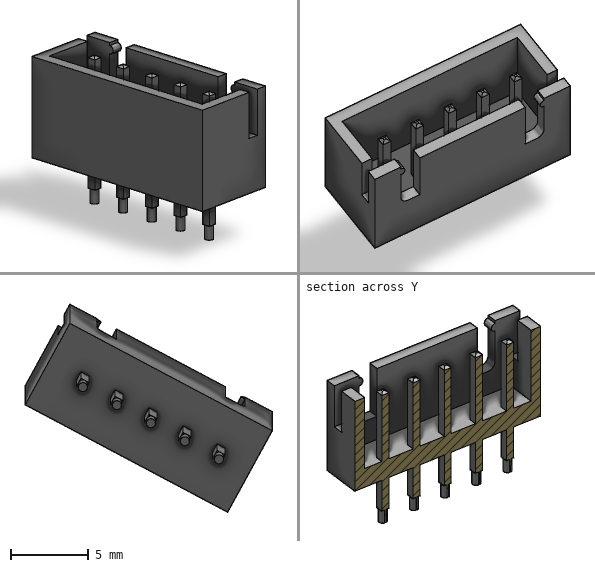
import cadquery as cq

length = 14.9
width = 6.1
height = 7.0
end_wall = 0.77
back_wall = 0.79
front_wall = 0.83
floor_thickness = 1.49

end_slot_width = 0.8
end_slot_depth = 3.19

tab_length = 2.0
latch_slot_width = 1.43
latch_slot_depth = 3.72
latch_slot_fillet = 0.58

ridge_radius = 0.3
ridge_drop = 0.5

pin_count = 5
pin_pitch = 2.5
pin_size = 0.6
pin_back_offset = 2.75
pin_top = 6.76
pin_taper_height = 0.15
pin_tip_size = 0.16
pin_length_below = 3.4
round_end_length = 1.0

back_y = width / 2
back_wall_inner_y = back_y - back_wall
pin_y = back_y - pin_back_offset
tab_edge_x = length / 2 - tab_length


def make_housing():
    """Box with a rectangular cavity open at the top."""
    cavity_width = width - back_wall - front_wall
    block = cq.Workplane("XY").box(length, width, height, centered=(True, True, False))
    cavity = (
        cq.Workplane("XY")
        .box(length - 2 * end_wall, cavity_width, height, centered=(True, False, False))
        .translate((0, front_wall - width / 2, floor_thickness))
    )
    return block.cut(cavity)


def make_end_slots():
    """Cutter through both end walls, just inside the back wall."""
    return (
        cq.Workplane("XY")
        .box(length, end_slot_width, end_slot_depth, centered=(True, False, False))
        .translate((0, back_wall_inner_y - end_slot_width, height - end_slot_depth))
    )


def make_latch_slot():
    """Cutter for the +X latch slot, with a rounded corner at the foot of the tab."""
    slot_bottom = height - latch_slot_depth
    return (
        cq.Workplane("XZ", origin=(0, back_y, 0))
        .moveTo(tab_edge_x - latch_slot_width, height)
        .lineTo(tab_edge_x - latch_slot_width, slot_bottom)
        .lineTo(tab_edge_x - latch_slot_fillet, slot_bottom)
        .radiusArc((tab_edge_x, slot_bottom + latch_slot_fillet), -latch_slot_fillet)
        .lineTo(tab_edge_x, height)
        .close()
        .extrude(back_wall)
    )


def make_ridge():
    """Round ridge along the free edge of the +X tab."""
    return (
        cq.Workplane("XZ", origin=(0, back_y, 0))
        .center(tab_edge_x, height - ridge_drop)
        .circle(ridge_radius)
        .extrude(back_wall)
    )


def make_pin():
    """Square pin with a tapered top and a round lower end, centred on the Z axis."""
    shoulder = pin_top - pin_taper_height
    square_bottom = round_end_length - pin_length_below
    shank = (
        cq.Workplane("XY", origin=(0, 0, square_bottom))
        .rect(pin_size, pin_size)
        .extrude(shoulder - square_bottom)
    )
    taper = (
        cq.Workplane("XY", origin=(0, 0, shoulder))
        .rect(pin_size, pin_size)
        .workplane(offset=pin_taper_height)
        .rect(pin_tip_size, pin_tip_size)
        .loft(ruled=True)
    )
    round_end = (
        cq.Workplane("XY", origin=(0, 0, square_bottom))
        .circle(pin_size / 2)
        .extrude(-round_end_length)
    )
    return shank.union(taper).union(round_end)


latch_slot = make_latch_slot()
ridge = make_ridge()

result = make_housing().cut(make_end_slots())
result = result.cut(latch_slot).cut(latch_slot.mirror("YZ"))
result = result.union(ridge).union(ridge.mirror("YZ"))

pin = make_pin()
for index in range(pin_count):
    pin_x = (index - (pin_count - 1) / 2) * pin_pitch
    result = result.union(pin.translate((pin_x, pin_y, 0)))